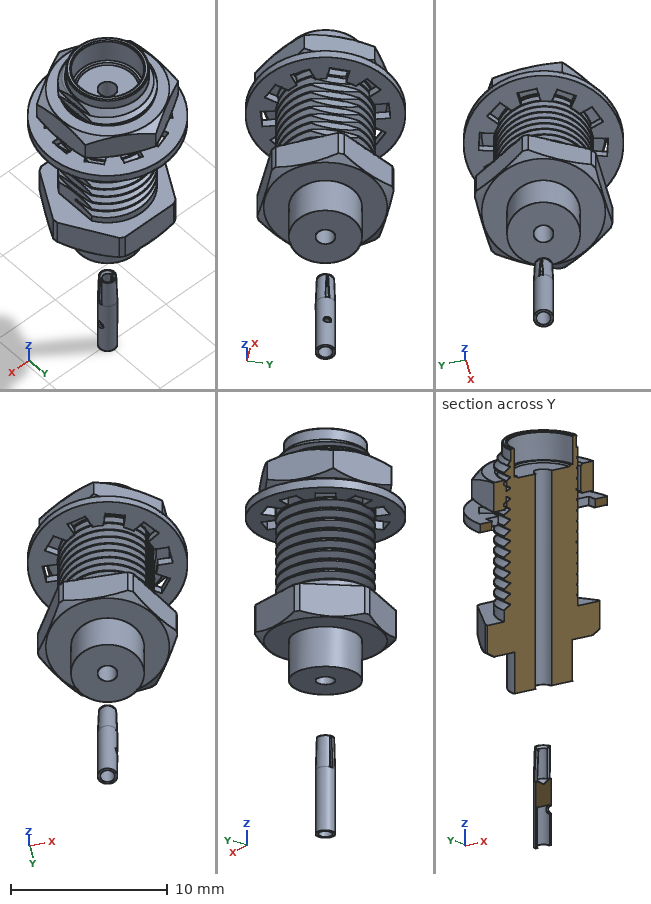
import cadquery as cq
import math

TOTAL_HEIGHT = 27.0
NECK_BOTTOM = 26.2
NUT_BOTTOM = 23.0
WASHER_BOTTOM = 21.85
HEX_TOP = 15.58
HEX_BOTTOM = 13.36
TAIL_BOTTOM = 10.6
PIN_LENGTH = 6.62

THREAD_DIAMETER = 6.35
NECK_DIAMETER = 5.32
TAIL_DIAMETER = 4.67
FLAT_OFFSET = 2.75
RIM_CHAMFER = 0.08
BORE_DIAMETER = 4.65
BORE_DEPTH = 1.92
RECESS_RIM_DIAMETER = 4.27
RECESS_FLOOR_DIAMETER = 4.05
RECESS_DEPTH = 0.1

GROOVE_START = 16.28
GROOVE_END = 26.51
GROOVE_TURNS = 14.5
GROOVE_OVERCUT = 0.08
THREAD_HALF_ANGLE = math.radians(30)

ACROSS_FLATS = 8.0
HEX_HALF_SECTOR = 180 / 6
ACROSS_CORNERS = ACROSS_FLATS / math.cos(math.radians(HEX_HALF_SECTOR))
CHAMFER_START_RADIUS = 3.95
CHAMFER_ANGLE = math.radians(30)
HEX_CORNER_DIAMETER = 9.02
NUT_HEIGHT = 2.0
NUT_BORE_DIAMETER = 5.89
NUT_COUNTERSINK_DIAMETER = 6.2

WASHER_DIAMETER = 10.2
WASHER_THICKNESS = 0.6
WASHER_BORE_DIAMETER = 6.4
NOTCH_COUNT = 10
NOTCH_OUTER_DIAMETER = 8.2
NOTCH_WIDTH = 1.3

PIN_DIAMETER = 1.27
PIN_TIP_DIAMETER = 1.13
SOCKET_LENGTH = 2.2
SOCKET_TIP_DIAMETER = 0.7
SOCKET_BASE_DIAMETER = SOCKET_TIP_DIAMETER + PIN_DIAMETER - PIN_TIP_DIAMETER
SOCKET_POINT_HALF_ANGLE = math.radians(60)
SOCKET_MOUTH_DIAMETER = 1.0
SOCKET_MOUTH_DEPTH = 0.15
SLOT_BASE_WIDTH = 0.27
SLOT_TIP_WIDTH = 0.1
CABLE_BORE_DIAMETER = 0.95
CABLE_BORE_DEPTH = 2.7
SOLDER_HOLE_DIAMETER = 0.5
SOLDER_HOLE_HEIGHT = 2.35


def cylinder(diameter, bottom, top):
    """Upright cylinder on the Z axis."""
    return cq.Workplane("XY").workplane(offset=bottom).circle(diameter / 2).extrude(top - bottom)


def cone(bottom_diameter, top_diameter, bottom, top):
    """Upright truncated cone on the Z axis."""
    solid = cq.Solid.makeCone(
        bottom_diameter / 2, top_diameter / 2, top - bottom, pnt=cq.Vector(0, 0, bottom)
    )
    return cq.Workplane(obj=solid)


def corner_chamfer_envelope(bottom, top, chamfer_bottom, chamfer_top):
    """Round blank with coned ends; intersecting a hexagon with it chamfers the corners."""
    reach = ACROSS_CORNERS / 2
    drop = (reach - CHAMFER_START_RADIUS) * math.tan(CHAMFER_ANGLE)
    outline = [(0, bottom)]
    if chamfer_bottom:
        outline += [(CHAMFER_START_RADIUS, bottom), (reach, bottom + drop)]
    else:
        outline += [(reach, bottom)]
    if chamfer_top:
        outline += [(reach, top - drop), (CHAMFER_START_RADIUS, top)]
    else:
        outline += [(reach, top)]
    outline += [(0, top)]
    return cq.Workplane("XZ").polyline(outline).close().revolve(360, (0, 0), (0, 1))


def hexagon(bottom, height):
    """Hexagonal prism with two corners on the X axis."""
    return cq.Workplane("XY").workplane(offset=bottom).polygon(6, ACROSS_CORNERS).extrude(height)


def thread_cutter():
    """Triangle swept along a helix, with its apex on the root of the thread."""
    root = NECK_DIAMETER / 2
    outer = THREAD_DIAMETER / 2 + GROOVE_OVERCUT
    half_width = (outer - root) * math.tan(THREAD_HALF_ANGLE)
    length = GROOVE_END - GROOVE_START
    helix = cq.Wire.makeHelix(length / GROOVE_TURNS, length, root).moved(
        cq.Location(cq.Vector(0, 0, GROOVE_START))
    )
    return (
        cq.Workplane("XZ")
        .polyline(
            [
                (root, GROOVE_START),
                (outer, GROOVE_START + half_width),
                (outer, GROOVE_START - half_width),
            ]
        )
        .close()
        .sweep(cq.Workplane(obj=helix), isFrenet=True)
    )


def threaded_sleeve():
    """Threaded length of the housing, tapered at its top and flattened on its +X side."""
    sleeve = cylinder(THREAD_DIAMETER, HEX_TOP, NECK_BOTTOM).cut(thread_cutter())

    taper = (THREAD_DIAMETER - NECK_DIAMETER) / 2
    taper_bottom = NECK_BOTTOM - taper
    taper_ring = cylinder(THREAD_DIAMETER + GROOVE_OVERCUT, taper_bottom, NECK_BOTTOM)
    taper_ring = taper_ring.cut(cone(THREAD_DIAMETER, NECK_DIAMETER, taper_bottom, NECK_BOTTOM))
    sleeve = sleeve.cut(taper_ring)

    height = NECK_BOTTOM - HEX_TOP
    flat_side = cq.Workplane("XY").box(
        THREAD_DIAMETER, THREAD_DIAMETER, height, centered=(False, True, False)
    )
    return sleeve.cut(flat_side.translate((FLAT_OFFSET, 0, HEX_TOP)))


def hex_flange():
    """Hexagon below the thread, with rounded corners and a chamfered bottom."""
    flange = hexagon(HEX_BOTTOM, HEX_TOP - HEX_BOTTOM)
    flange = flange.intersect(cylinder(HEX_CORNER_DIAMETER, HEX_BOTTOM, HEX_TOP))
    return flange.intersect(corner_chamfer_envelope(HEX_BOTTOM, HEX_TOP, True, False))


def nut():
    """Hexagon nut ring on the thread, with two corners on the Y axis."""
    top = NUT_BOTTOM + NUT_HEIGHT
    countersink = (NUT_COUNTERSINK_DIAMETER - NUT_BORE_DIAMETER) / 2
    ring = hexagon(NUT_BOTTOM, NUT_HEIGHT).rotate((0, 0, 0), (0, 0, 1), HEX_HALF_SECTOR)
    ring = ring.intersect(corner_chamfer_envelope(NUT_BOTTOM, top, True, True))
    ring = ring.cut(cylinder(NUT_BORE_DIAMETER, NUT_BOTTOM, top))
    ring = ring.cut(cone(NUT_BORE_DIAMETER, NUT_COUNTERSINK_DIAMETER, top - countersink, top))
    return ring.cut(
        cone(NUT_COUNTERSINK_DIAMETER, NUT_BORE_DIAMETER, NUT_BOTTOM, NUT_BOTTOM + countersink)
    )


def make_housing():
    """Threaded housing and the nut seated on its thread, one solid."""
    neck = cylinder(NECK_DIAMETER, NECK_BOTTOM, TOTAL_HEIGHT).faces(">Z").chamfer(RIM_CHAMFER)
    tail = cylinder(TAIL_DIAMETER, TAIL_BOTTOM, HEX_BOTTOM)
    body = threaded_sleeve().union(nut()).union(hex_flange()).union(neck).union(tail)

    floor = TOTAL_HEIGHT - BORE_DEPTH
    body = body.cut(cylinder(BORE_DIAMETER, floor, TOTAL_HEIGHT))
    body = body.cut(cone(RECESS_FLOOR_DIAMETER, RECESS_RIM_DIAMETER, floor - RECESS_DEPTH, floor))
    body = body.cut(
        cone(BORE_DIAMETER, BORE_DIAMETER + 2 * RIM_CHAMFER, TOTAL_HEIGHT - RIM_CHAMFER, TOTAL_HEIGHT)
    )
    return body.cut(cylinder(PIN_DIAMETER, TAIL_BOTTOM, TOTAL_HEIGHT))


def make_washer():
    """Flat washer whose bore is notched into teeth."""
    top = WASHER_BOTTOM + WASHER_THICKNESS
    washer = cylinder(WASHER_DIAMETER, WASHER_BOTTOM, top)
    notch = (
        cq.Workplane("XY")
        .box(NOTCH_OUTER_DIAMETER / 2, NOTCH_WIDTH, WASHER_THICKNESS, centered=(False, True, False))
        .translate((0, 0, WASHER_BOTTOM))
    )
    for index in range(NOTCH_COUNT):
        angle = index * 360 / NOTCH_COUNT
        washer = washer.cut(notch.rotate((0, 0, 0), (0, 0, 1), angle))
    return washer.cut(cylinder(WASHER_BORE_DIAMETER, WASHER_BOTTOM, top))


def make_pin():
    """Contact pin: slotted tapered socket on top, cable bore below, solder hole on the +X side."""
    socket_bottom = PIN_LENGTH - SOCKET_LENGTH
    pin = cylinder(PIN_DIAMETER, 0, socket_bottom)
    pin = pin.union(cone(PIN_DIAMETER, PIN_TIP_DIAMETER, socket_bottom, PIN_LENGTH))
    pin = pin.cut(cone(SOCKET_BASE_DIAMETER, SOCKET_TIP_DIAMETER, socket_bottom, PIN_LENGTH))
    point_depth = SOCKET_BASE_DIAMETER / 2 / math.tan(SOCKET_POINT_HALF_ANGLE)
    pin = pin.cut(cone(0, SOCKET_BASE_DIAMETER, socket_bottom - point_depth, socket_bottom))
    mouth_bottom = PIN_LENGTH - SOCKET_MOUTH_DEPTH
    pin = pin.cut(cone(SOCKET_TIP_DIAMETER, SOCKET_MOUTH_DIAMETER, mouth_bottom, PIN_LENGTH))
    slot = (
        cq.Workplane("YZ")
        .polyline(
            [
                (-SLOT_BASE_WIDTH / 2, socket_bottom),
                (SLOT_BASE_WIDTH / 2, socket_bottom),
                (SLOT_TIP_WIDTH / 2, PIN_LENGTH),
                (-SLOT_TIP_WIDTH / 2, PIN_LENGTH),
            ]
        )
        .close()
        .extrude(PIN_DIAMETER / 2, both=True)
    )
    pin = pin.cut(slot)
    pin = pin.cut(cylinder(CABLE_BORE_DIAMETER, 0, CABLE_BORE_DEPTH))
    solder_hole = (
        cq.Workplane("YZ")
        .center(0, SOLDER_HOLE_HEIGHT)
        .circle(SOLDER_HOLE_DIAMETER / 2)
        .extrude(PIN_DIAMETER / 2)
    )
    return pin.cut(solder_hole)


housing = make_housing()
washer = make_washer()
pin = make_pin()

result = cq.Compound.makeCompound(
    [housing.solids().val(), washer.solids().val(), pin.solids().val()]
)